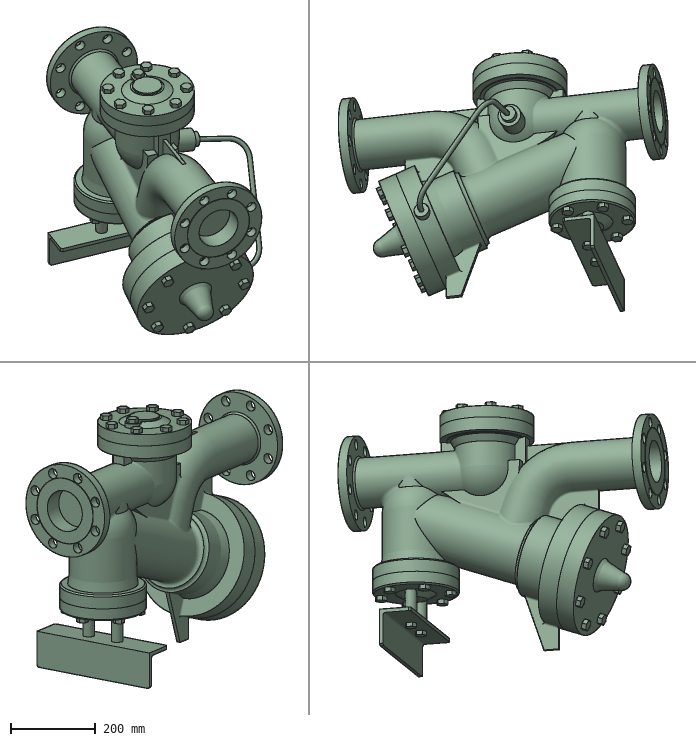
import cadquery as cq
import math


RUN_LENGTH = 750.0
PIPE_RADIUS = 60.0
BORE_RADIUS = 49.9
BORE_DEPTH = 48.0
END_FLANGE_RADIUS = 112.5
END_FLANGE_BACK = 23.0
RAISED_FACE_RADIUS = 79.9
RAISED_FACE_HEIGHT = 1.5
HUB_EXTRA_RADIUS = 4.5
HUB_LENGTH = 4.5
END_HOLE_RADIUS = 12.0
END_HOLE_COUNT = 8
BOLT_CIRCLE_RADIUS = 92.6

BOWL_X = 334.5
BOWL_RADIUS = 76.0
BOWL_MOUTH_RADIUS = 85.5
BOWL_EQUATOR_Z = 2.0
BOWL_MOUTH_Z = 61.5
UPPER_FLANGE_RADIUS = 111.0
UPPER_FLANGE_UNDERSIDE_Z = 80.0
UPPER_RING_RADIUS = 94.5
UPPER_RING_BOTTOM_Z = 78.0
UPPER_SPLIT_Z = 111.0
UPPER_COVER_TOP_Z = 139.0
UPPER_BOLT_COUNT = 8

CAP_CONE_RADIUS = 61.0
CAP_CONE_TOP_RADIUS = 40.0
CAP_CONE_TOP_Z = 149.0
CAP_RADIUS = 34.9
CAP_TOP_Z = 153.0
PLUG_OFFSET = 51.0
PLUG_PAD_RADIUS = 18.0
PLUG_PAD_TOP_Z = 149.0
PLUG_TOP_Z = 159.4

HEAD_CORNER_DIAMETER = 28.0
UPPER_HEAD_HEIGHT = 10.5

CHAMBER_X = 160.0
CHAMBER_RADIUS = 79.9
CHAMBER_DOME_Z = -85.0
CHAMBER_TAPER_Z = -193.0
CHAMBER_FOOT_RADIUS = 83.0
LOWER_FLANGE_RADIUS = 102.4
LOWER_FLANGE_TOP_Z = -217.0
LOWER_SPLIT_Z = -250.0
LOWER_COVER_BOTTOM_Z = -280.0
LOWER_EDGE_CHAMFER = 4.0
LOWER_BOLT_COUNT = 6
LOWER_BOLT_CIRCLE_RADIUS = 85.5
LOWER_HEAD_HEIGHT = 10.5
LOWER_BOSS_RADIUS = 49.0
LOWER_BOSS_TIP_RADIUS = 27.0
LOWER_BOSS_BOTTOM_Z = -292.5

LEG_RADIUS = 13.9
LEG_SPACING = 81.0
BRACKET_LEFT_X = 118.5
BRACKET_RIGHT_X = 195.0
BRACKET_TOP_Z = -352.0
BRACKET_BOTTOM_Z = -439.9
BRACKET_THICKNESS = 9.0
BRACKET_LENGTH = 321.0
BRACKET_CORNER = 4.5
BRACKET_BEND_RADIUS = 6.0
LEG_NUT_HEIGHT = 10.0

STRAINER_ANGLE = 20.0
STRAINER_START_Z = -101.0
BARREL_RADIUS = 77.0
SHOULDER_RADIUS = 100.0
SHOULDER_AT = 304.5
SHOULDER_INNER_ROUND = 10.5
SHOULDER_OUTER_ROUND = 9.0
NECK_FLARE_AT = 367.5
NECK_END_RADIUS = 106.5
SIDE_FLANGE_RADIUS = 148.0
SIDE_FLANGE_AT = 393.0
SIDE_SPLIT_AT = 441.0
SIDE_COVER_END = 485.0
SIDE_BOLT_COUNT = 8
SIDE_BOLT_CIRCLE_RADIUS = 124.0
SIDE_HEAD_HEIGHT = 12.0
NOSE_ROOT_RADIUS = 41.0
NOSE_NECK_RADIUS = 35.0
NOSE_NECK_LENGTH = 9.0
NOSE_TIP_RADIUS = 22.0
NOSE_BALL_AT = 540.0

ELBOW_X = 550.0
ELBOW_RADIUS = 120.0
ELBOW_SWEEP = 90.0 - STRAINER_ANGLE

THIN_WEB = 9.0
THICK_WEB = 79.5
FLANGE_RIB = 30.0
FLANGE_RIB_LEFT_X = 226.5
FLANGE_RIB_RIGHT_X = 435.0
LOWER_WEB_RIGHT_X = 611.0
FOOT_BOTTOM_Z = BRACKET_BOTTOM_Z

CAST_ROUND = 9.0
BOWL_ROUND = 4.5
WEB_ROUND = 4.5

WEB_FACE_Y = THIN_WEB / 2
DOME_JOINT = (105, 45, -49.0)
LOWER_WEB_JOINTS = [
    (577.5, WEB_FACE_Y, -60),
    (510, WEB_FACE_Y, -75),
    (572.0, WEB_FACE_Y, -116.0),
    (592.5, WEB_FACE_Y, -102.0),
]
FOOT_JOINTS = [(450, WEB_FACE_Y, -313.0), (485.0, WEB_FACE_Y, -356.0), (495, WEB_FACE_Y, -380.0)]

TUBE_RADIUS = 6.0
TUBE_BEND_RADIUS = 50.0
TUBE_FITTING_TILT = 9.0
FITTING_Z = -13.0
FITTING_PAD_RADIUS = 27.4
FITTING_PAD_END = 114.0
FITTING_NUT_RADIUS = 18.0
FITTING_NUT_END = 129.0
TUBE_FIRST_CORNER = (353.0, 250.9, -52.5)
TUBE_LAST_CORNER = (538.5, 203.0, -283.0)
TUBE_END_Y = 135.0
TUBE_PAD_RADIUS = 18.0
TUBE_PAD_START_Y = 127.5
TUBE_PAD_END_Y = 152.0

bowl_frame = cq.Plane(origin=(BOWL_X, 0, 0))
chamber_frame = cq.Plane(origin=(CHAMBER_X, 0, 0))
slope = math.radians(STRAINER_ANGLE)
strainer_frame = cq.Plane(
    origin=(CHAMBER_X, 0, STRAINER_START_Z),
    xDir=(0, 1, 0),
    normal=(math.cos(slope), 0, -math.sin(slope)),
)
inlet_frame = cq.Plane(origin=(0, 0, 0), xDir=(0, 1, 0), normal=(1, 0, 0))
outlet_frame = cq.Plane(origin=(RUN_LENGTH, 0, 0), xDir=(0, 1, 0), normal=(-1, 0, 0))


def placed(shape, frame):
    """Move a shape built around the origin into a frame."""
    return cq.Workplane(shape.val().moved(cq.Location(frame)))


def turned(outline, frame):
    """Revolve a (radius, height) outline about the frame's normal."""
    return placed(outline.close().revolve(360, (0, 0, 0), (0, 1, 0)), frame)


def cylinder(radius, start, end, frame):
    """A cylinder along the frame's normal, from one distance to another."""
    return cq.Workplane(frame).workplane(offset=start).circle(radius).extrude(end - start)


def ring(radius, count, first_angle=0.0):
    """Points evenly spaced on a circle about the frame's origin."""
    angles = [math.radians(first_angle + 360.0 * i / count) for i in range(count)]
    return [(radius * math.cos(a), radius * math.sin(a)) for a in angles]


def half_step_ring(radius, count):
    """Points on a circle that straddle the frame's x direction."""
    return ring(radius, count, 180.0 / count)


def hex_heads(points, start, height, frame):
    """Hexagonal heads standing at the given points."""
    seats = cq.Workplane(frame).workplane(offset=start).pushPoints(points)
    return seats.polygon(6, HEAD_CORNER_DIAMETER).extrude(height)


def web(points, thickness):
    """A plate in the XZ plane, centred on Y = 0."""
    return cq.Workplane("XZ").polyline(points).close().extrude(thickness / 2, both=True)


def rounded(shape, points, radius):
    """Round the edges that pass nearest to the points and to their mirror images across Y = 0."""
    solid = shape.solids().val()
    edges = []
    for x, y, z in points:
        for side in (-1, 1):
            spot = cq.Vertex.makeVertex(x, side * y, z)
            edge = min(solid.Edges(), key=lambda e: e.distance(spot))
            if not any(edge.isSame(other) for other in edges):
                edges.append(edge)
    return cq.Workplane(solid.fillet(radius, edges))



def end_flange(frame):
    outline = (
        cq.Workplane("XZ")
        .moveTo(0, 0)
        .lineTo(RAISED_FACE_RADIUS, 0)
        .lineTo(RAISED_FACE_RADIUS, RAISED_FACE_HEIGHT)
        .lineTo(END_FLANGE_RADIUS, RAISED_FACE_HEIGHT)
        .lineTo(END_FLANGE_RADIUS, END_FLANGE_BACK)
        .lineTo(PIPE_RADIUS + HUB_EXTRA_RADIUS, END_FLANGE_BACK)
        .lineTo(PIPE_RADIUS, END_FLANGE_BACK + HUB_LENGTH)
        .lineTo(0, END_FLANGE_BACK + HUB_LENGTH)
    )
    flange = turned(outline, frame)
    holes = (
        cq.Workplane(frame)
        .pushPoints(half_step_ring(BOLT_CIRCLE_RADIUS, END_HOLE_COUNT))
        .circle(END_HOLE_RADIUS)
        .extrude(END_FLANGE_BACK)
    )
    return flange.cut(holes)


def bowl():
    outline = (
        cq.Workplane("XZ")
        .moveTo(0, BOWL_EQUATOR_Z - BOWL_RADIUS)
        .radiusArc((BOWL_RADIUS, BOWL_EQUATOR_Z), -BOWL_RADIUS)
        .lineTo(BOWL_RADIUS, BOWL_MOUTH_Z)
        .lineTo(BOWL_MOUTH_RADIUS, UPPER_RING_BOTTOM_Z)
        .lineTo(UPPER_RING_RADIUS, UPPER_RING_BOTTOM_Z)
        .lineTo(UPPER_RING_RADIUS, UPPER_FLANGE_UNDERSIDE_Z)
        .lineTo(UPPER_FLANGE_RADIUS, UPPER_FLANGE_UNDERSIDE_Z)
        .lineTo(UPPER_FLANGE_RADIUS, UPPER_SPLIT_Z)
        .lineTo(0, UPPER_SPLIT_Z)
    )
    return turned(outline, bowl_frame)


def inlet_pipe():
    return cylinder(PIPE_RADIUS, RAISED_FACE_HEIGHT, BOWL_X, inlet_frame)


def bowl_and_inlet():
    joined = bowl().union(inlet_pipe())
    on_side = (BOWL_X - 45, PIPE_RADIUS, 4.0)
    return rounded(joined, [on_side], BOWL_ROUND)


def chamber():
    """Domed upright chamber with a neck that rises into the pipe run."""
    chamfer = LOWER_EDGE_CHAMFER
    outline = (
        cq.Workplane("XZ")
        .moveTo(0, CHAMBER_DOME_Z + CHAMBER_RADIUS)
        .radiusArc((CHAMBER_RADIUS, CHAMBER_DOME_Z), CHAMBER_RADIUS)
        .lineTo(CHAMBER_RADIUS, CHAMBER_TAPER_Z)
        .lineTo(CHAMBER_FOOT_RADIUS, LOWER_FLANGE_TOP_Z)
        .lineTo(LOWER_FLANGE_RADIUS - chamfer, LOWER_FLANGE_TOP_Z)
        .lineTo(LOWER_FLANGE_RADIUS, LOWER_FLANGE_TOP_Z - chamfer)
        .lineTo(LOWER_FLANGE_RADIUS, LOWER_SPLIT_Z)
        .lineTo(0, LOWER_SPLIT_Z)
    )
    neck = cylinder(PIPE_RADIUS, CHAMBER_DOME_Z, 0, chamber_frame)
    return turned(outline, chamber_frame).union(neck)


def strainer_barrel():
    inner = SHOULDER_INNER_ROUND
    outer = SHOULDER_OUTER_ROUND
    outline = (
        cq.Workplane("XZ")
        .lineTo(BARREL_RADIUS, 0)
        .lineTo(BARREL_RADIUS, SHOULDER_AT - inner)
        .radiusArc((BARREL_RADIUS + inner, SHOULDER_AT), inner)
        .lineTo(SHOULDER_RADIUS - outer, SHOULDER_AT)
        .radiusArc((SHOULDER_RADIUS, SHOULDER_AT + outer), outer)
        .lineTo(SHOULDER_RADIUS, NECK_FLARE_AT)
        .lineTo(NECK_END_RADIUS, SIDE_FLANGE_AT)
        .lineTo(SIDE_FLANGE_RADIUS, SIDE_FLANGE_AT)
        .lineTo(SIDE_FLANGE_RADIUS, SIDE_SPLIT_AT)
        .lineTo(0, SIDE_SPLIT_AT)
    )
    return turned(outline, strainer_frame)


def outlet_elbow():
    """Outlet pipe that bends down and meets the strainer barrel at a right angle."""
    sweep = math.radians(ELBOW_SWEEP)
    bend_end_x = ELBOW_X - ELBOW_RADIUS * math.sin(sweep)
    bend_end_z = -ELBOW_RADIUS * (1 - math.cos(sweep))
    above_barrel_axis = strainer_frame.toLocalCoords(cq.Vector(bend_end_x, 0, bend_end_z)).y
    foot_x = bend_end_x - above_barrel_axis * math.sin(slope)
    foot_z = bend_end_z - above_barrel_axis * math.cos(slope)
    path = (
        cq.Workplane("XZ")
        .moveTo(RUN_LENGTH - RAISED_FACE_HEIGHT, 0)
        .lineTo(ELBOW_X, 0)
        .radiusArc((bend_end_x, bend_end_z), -ELBOW_RADIUS)
        .lineTo(foot_x, foot_z)
    )
    section = cq.Workplane(outlet_frame).workplane(offset=RAISED_FACE_HEIGHT).circle(PIPE_RADIUS)
    return section.sweep(path)


def elbow_and_filler():
    """Elbow standing on the barrel, with the thick web that fills the space under the bowl."""
    barrel = cylinder(BARREL_RADIUS, 0, SHOULDER_AT, strainer_frame)
    filler = web([(225, -37.5), (315, 0), (375, 19.0), (427.5, 19.0), (420, -112.5), (330, -112.5)], THICK_WEB)
    joined = barrel.union(outlet_elbow()).union(filler)
    face = THICK_WEB / 2
    on_barrel = (322.5, face, -90)
    on_elbow_leg = (386.0, face, -86.0)
    on_elbow_bend = (405, face, -37.5)
    round_elbow_foot = (414.0, PIPE_RADIUS, -142.0)
    return rounded(joined, [on_barrel, on_elbow_leg, on_elbow_bend, round_elbow_foot], CAST_ROUND)


def thin_webs():
    """Rib above the elbow, web under the outlet pipe, and the foot."""
    right = LOWER_WEB_RIGHT_X
    bottom = FOOT_BOTTOM_Z
    upper_rib = web([(375, 0), (375, PIPE_RADIUS), (ELBOW_X, PIPE_RADIUS), (ELBOW_X, 0)], THIN_WEB)
    lower_rib = web([(465, -112.5), (ELBOW_X, 0), (right, 0), (right, -127.5), (495, -165)], THIN_WEB)
    foot = web([(429.0, -304.0), (476.0, bottom), (512.0, bottom), (512.0, -337.5), (465, -270)], THIN_WEB)
    return [upper_rib, lower_rib, foot]


def flange_ribs():
    """Stout ribs that carry the upper flange on both sides of the bowl."""
    top = UPPER_FLANGE_UNDERSIDE_Z
    left = FLANGE_RIB_LEFT_X
    right = FLANGE_RIB_RIGHT_X
    inlet_rib = web([(left, 45), (left, top), (300, top), (300, 45)], FLANGE_RIB)
    outlet_rib = web([(375, 13.5), (375, top), (right, top), (right, 13.5)], FLANGE_RIB)
    return [inlet_rib, outlet_rib]


def rounded_run(start, corners, end, bend_radius):
    """A path of straight runs joined by bends of one radius."""
    points = [cq.Vector(*p) for p in [start, *corners, end]]
    edges = []
    run_start = points[0]
    for before, corner, after in zip(points, points[1:], points[2:]):
        back = (before - corner).normalized()
        ahead = (after - corner).normalized()
        half_angle = back.getAngle(ahead) / 2
        setback = bend_radius / math.tan(half_angle)
        middle = (back + ahead).normalized()
        nearest = corner + middle * (bend_radius / math.sin(half_angle) - bend_radius)
        bend_start = corner + back * setback
        bend_end = corner + ahead * setback
        edges.append(cq.Edge.makeLine(run_start, bend_start))
        edges.append(cq.Edge.makeThreePointArc(bend_start, nearest, bend_end))
        run_start = bend_end
    edges.append(cq.Edge.makeLine(run_start, points[-1]))
    return cq.Wire.assembleEdges(edges)


def balance_tube():
    """Fitting on the bowl, the bent tube and the pad where it enters the side flange."""
    tilt = math.radians(TUBE_FITTING_TILT)
    fitting_frame = cq.Plane(
        origin=(BOWL_X, 0, FITTING_Z),
        xDir=(1, 0, 0),
        normal=(0, math.cos(tilt), -math.sin(tilt)),
    )
    pad = cylinder(FITTING_PAD_RADIUS, 0, FITTING_PAD_END, fitting_frame)
    nut = cylinder(FITTING_NUT_RADIUS, 0, FITTING_NUT_END, fitting_frame)
    start = fitting_frame.toWorldCoords((0, 0, FITTING_PAD_END))
    end_x, _, end_z = TUBE_LAST_CORNER
    path = rounded_run(
        start.toTuple(),
        [TUBE_FIRST_CORNER, TUBE_LAST_CORNER],
        (end_x, TUBE_END_Y, end_z),
        TUBE_BEND_RADIUS,
    )
    along = cq.Vector(*TUBE_FIRST_CORNER) - start
    section = cq.Workplane(cq.Plane(origin=start, normal=along)).circle(TUBE_RADIUS)
    tube = section.sweep(cq.Workplane(path))
    pad_frame = cq.Plane(origin=(end_x, 0, end_z), xDir=(1, 0, 0), normal=(0, 1, 0))
    end_pad = cylinder(TUBE_PAD_RADIUS, TUBE_PAD_START_Y, TUBE_PAD_END_Y, pad_frame)
    return [pad, nut, tube, end_pad]


def make_valve_body():
    body = bowl_and_inlet()
    parts = [elbow_and_filler(), strainer_barrel(), chamber()]
    parts += [end_flange(inlet_frame), end_flange(outlet_frame)]
    parts += thin_webs() + flange_ribs() + balance_tube()
    for part in parts:
        body = body.union(part)
    body = rounded(body, [DOME_JOINT], CAST_ROUND)
    body = rounded(body, LOWER_WEB_JOINTS + FOOT_JOINTS, WEB_ROUND)
    for frame in (inlet_frame, outlet_frame):
        body = body.cut(cylinder(BORE_RADIUS, 0, BORE_DEPTH, frame))
    return body



def make_upper_cover():
    outline = (
        cq.Workplane("XZ")
        .moveTo(0, UPPER_SPLIT_Z)
        .lineTo(UPPER_FLANGE_RADIUS, UPPER_SPLIT_Z)
        .lineTo(UPPER_FLANGE_RADIUS, UPPER_COVER_TOP_Z)
        .lineTo(CAP_CONE_RADIUS, UPPER_COVER_TOP_Z)
        .lineTo(CAP_CONE_TOP_RADIUS, CAP_CONE_TOP_Z)
        .lineTo(CAP_RADIUS, CAP_CONE_TOP_Z)
        .lineTo(CAP_RADIUS, CAP_TOP_Z)
        .lineTo(0, CAP_TOP_Z)
    )
    cover = turned(outline, bowl_frame)
    bolts = half_step_ring(BOLT_CIRCLE_RADIUS, UPPER_BOLT_COUNT)
    cover = cover.union(hex_heads(bolts, UPPER_COVER_TOP_Z, UPPER_HEAD_HEIGHT, bowl_frame))
    plug_frame = cq.Plane(origin=(BOWL_X - PLUG_OFFSET, 0, 0))
    plug_pad = cylinder(PLUG_PAD_RADIUS, UPPER_SPLIT_Z, PLUG_PAD_TOP_Z, plug_frame)
    bridge = (
        cq.Workplane(plug_frame)
        .workplane(offset=UPPER_SPLIT_Z)
        .center(PLUG_OFFSET / 2, 0)
        .rect(PLUG_OFFSET, 2 * PLUG_PAD_RADIUS)
        .extrude(PLUG_PAD_TOP_Z - UPPER_SPLIT_Z)
    )
    plug = hex_heads([(0, 0)], PLUG_PAD_TOP_Z, PLUG_TOP_Z - PLUG_PAD_TOP_Z, plug_frame)
    return cover.union(plug_pad).union(bridge).union(plug)


def angle_bracket():
    inner_x = BRACKET_LEFT_X + BRACKET_THICKNESS
    inner_z = BRACKET_TOP_Z - BRACKET_THICKNESS
    profile = [
        (BRACKET_LEFT_X, BRACKET_TOP_Z),
        (BRACKET_RIGHT_X, BRACKET_TOP_Z),
        (BRACKET_RIGHT_X, inner_z),
        (inner_x, inner_z),
        (inner_x, BRACKET_BOTTOM_Z),
        (BRACKET_LEFT_X, BRACKET_BOTTOM_Z),
    ]
    bracket = web(profile, BRACKET_LENGTH)
    bracket = bracket.edges(cq.selectors.NearestToPointSelector((inner_x, 0, inner_z))).fillet(
        BRACKET_BEND_RADIUS
    )
    bracket = bracket.faces(">X").edges("|Z").chamfer(BRACKET_CORNER)
    return bracket.faces("<Z").edges("|X").chamfer(BRACKET_CORNER)


def make_lower_cover():
    chamfer = LOWER_EDGE_CHAMFER
    outline = (
        cq.Workplane("XZ")
        .moveTo(0, LOWER_SPLIT_Z)
        .lineTo(LOWER_FLANGE_RADIUS, LOWER_SPLIT_Z)
        .lineTo(LOWER_FLANGE_RADIUS, LOWER_COVER_BOTTOM_Z + chamfer)
        .lineTo(LOWER_FLANGE_RADIUS - chamfer, LOWER_COVER_BOTTOM_Z)
        .lineTo(LOWER_BOSS_RADIUS, LOWER_COVER_BOTTOM_Z)
        .lineTo(LOWER_BOSS_TIP_RADIUS, LOWER_BOSS_BOTTOM_Z)
        .lineTo(0, LOWER_BOSS_BOTTOM_Z)
    )
    cover = turned(outline, chamber_frame)
    bolts = ring(LOWER_BOLT_CIRCLE_RADIUS, LOWER_BOLT_COUNT)
    cover = cover.union(hex_heads(bolts, LOWER_COVER_BOTTOM_Z, -LOWER_HEAD_HEIGHT, chamber_frame))
    cover = cover.union(angle_bracket())
    bracket_underside_z = BRACKET_TOP_Z - BRACKET_THICKNESS
    for side in (-1, 1):
        y = side * LEG_SPACING / 2
        leg_frame = cq.Plane(origin=(CHAMBER_X, y, 0))
        cover = cover.union(cylinder(LEG_RADIUS, bracket_underside_z, LOWER_SPLIT_Z, leg_frame))
        cover = cover.union(hex_heads([(0, 0)], bracket_underside_z, -LEG_NUT_HEIGHT, leg_frame))
    return cover


def make_side_cover():
    outline = (
        cq.Workplane("XZ")
        .moveTo(0, SIDE_SPLIT_AT)
        .lineTo(SIDE_FLANGE_RADIUS, SIDE_SPLIT_AT)
        .lineTo(SIDE_FLANGE_RADIUS, SIDE_COVER_END)
        .lineTo(NOSE_ROOT_RADIUS, SIDE_COVER_END)
        .lineTo(NOSE_NECK_RADIUS, SIDE_COVER_END + NOSE_NECK_LENGTH)
        .lineTo(NOSE_TIP_RADIUS, NOSE_BALL_AT)
        .radiusArc((0, NOSE_BALL_AT + NOSE_TIP_RADIUS), -NOSE_TIP_RADIUS)
    )
    cover = turned(outline, strainer_frame)
    bolts = ring(SIDE_BOLT_CIRCLE_RADIUS, SIDE_BOLT_COUNT)
    return cover.union(hex_heads(bolts, SIDE_COVER_END, SIDE_HEAD_HEIGHT, strainer_frame))


valve_body = make_valve_body()
upper_cover = make_upper_cover()
lower_cover = make_lower_cover()
side_cover = make_side_cover()

result = cq.Compound.makeCompound(
    [
        valve_body.solids().val(),
        upper_cover.solids().val(),
        lower_cover.solids().val(),
        side_cover.solids().val(),
    ]
)